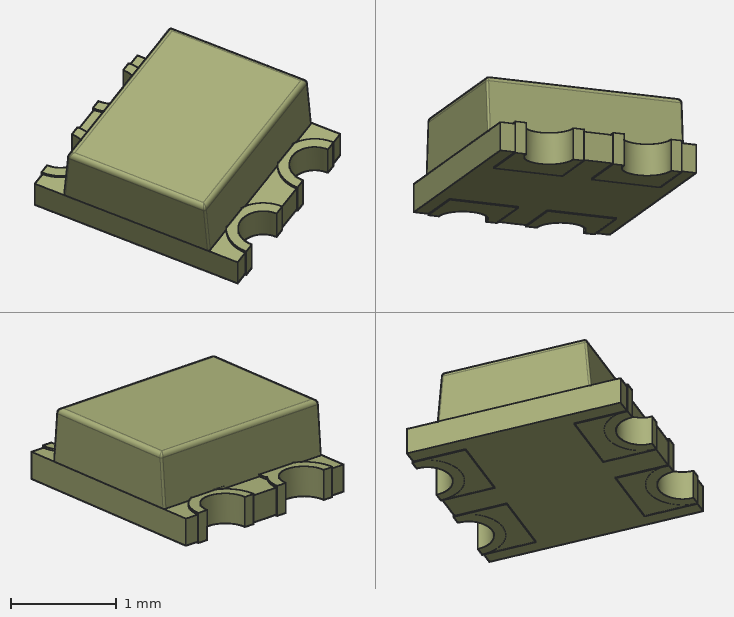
import cadquery as cq
import math

board_length = 2.2
board_width = 2.0
board_thickness = 0.28

terminal_pitch = 1.0
hole_radius = 0.24
terminal_radius = 0.35
edge_proud = 0.01
pad_thickness = 0.01
trace_thickness = 0.02
pad_length = 0.55

trace_inner_y = 0.209
trace_end_x = 0.777
exposed_trace_end_x = 0.877
middle_trace_width = 0.289

lens_height = 0.56
lens_base_length = 1.58
lens_draft = 4.8
lens_corner_radius = 0.02
lens_top_radius = 0.05

board_bottom = pad_thickness
board_top = board_bottom + board_thickness
terminal_height = board_top + trace_thickness
board_edge = board_length / 2
outer_edge = board_edge + edge_proud
terminal_y = terminal_pitch / 2


def block(x_min, x_max, y_min, y_max, z_min, z_max):
    """Axis-aligned box between the given limits."""
    size = (x_max - x_min, y_max - y_min, z_max - z_min)
    return cq.Workplane("XY").box(*size, centered=False).translate((x_min, y_min, z_min))


def make_terminal():
    """Terminal on the -X board edge at y = 0, not yet hollow: half-disc, edge strip and solder pad."""
    half_disc = (
        cq.Workplane("XY")
        .moveTo(-board_edge, -terminal_radius)
        .threePointArc((terminal_radius - board_edge, 0), (-board_edge, terminal_radius))
        .close()
        .extrude(terminal_height)
    )
    edge_strip = block(
        -outer_edge, -board_edge, -terminal_radius, terminal_radius, 0, terminal_height
    )
    pad = block(
        -outer_edge, pad_length - outer_edge, -terminal_radius, terminal_radius, 0, pad_thickness
    )
    return half_disc.union(edge_strip).union(pad)


def make_traces():
    """A front and a rear trace in X, joined by one trace in Y along the middle."""
    front = block(
        -exposed_trace_end_x, trace_end_x, -terminal_y, -trace_inner_y, board_top, terminal_height
    )
    rear = block(
        -trace_end_x, trace_end_x, trace_inner_y, terminal_y, board_top, terminal_height
    )
    middle_x = middle_trace_width / 2
    middle = block(-middle_x, middle_x, -terminal_y, terminal_y, board_top, terminal_height)
    return front.union(rear).union(middle)


def make_holes():
    """Cutters for the four half-holes, centred on the board edges."""
    return (
        cq.Workplane("XY")
        .rect(board_length, terminal_pitch, forConstruction=True)
        .vertices()
        .circle(hole_radius)
        .extrude(terminal_height)
    )


def make_conductor(holes):
    """Four terminals and the traces that join them, with the half-holes cut through."""
    conductor = make_traces()
    terminal = make_terminal()
    for turn in (0, 180):
        for y in (-terminal_y, terminal_y):
            placed = terminal.translate((0, y, 0)).rotate((0, 0, 0), (0, 0, 1), turn)
            conductor = conductor.union(placed)
    return conductor.cut(holes)


def make_board(holes, conductor):
    """Rectangular board, cut away where the half-holes and the conductor sit."""
    board = block(
        -board_edge, board_edge, -board_width / 2, board_width / 2, board_bottom, board_top
    )
    return board.cut(holes).cut(conductor)


def make_lens(conductor):
    """Lens with drafted X faces and rounded edges, recessed over the conductor."""
    base_x = lens_base_length / 2
    top_x = base_x - lens_height * math.tan(math.radians(lens_draft))
    lens_top = board_top + lens_height
    profile = [(-base_x, board_top), (base_x, board_top), (top_x, lens_top), (-top_x, lens_top)]
    lens = (
        cq.Workplane("XZ")
        .polyline(profile)
        .close()
        .extrude(board_width / 2, both=True)
    )
    lens = lens.faces(">Z").edges().fillet(lens_top_radius)
    lens = lens.edges("%LINE and (not #Z)").fillet(lens_corner_radius)
    return lens.cut(conductor)


holes = make_holes()
conductor = make_conductor(holes)
board = make_board(holes, conductor)
lens = make_lens(conductor)

result = cq.Compound.makeCompound([
    board.solids().val(),
    conductor.solids().val(),
    lens.solids().val(),
])